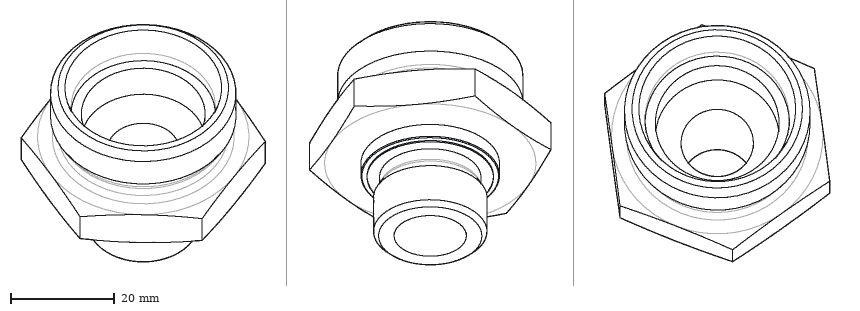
import cadquery as cq
import math

total_height = 39.0
hex_bottom = 17.0
hex_top = 25.0
hex_corner_diameter = 47.35
hex_flat_radius = hex_corner_diameter / 2 * math.cos(math.radians(30))
hex_chamfer_angle = 15.0

tube_thread_radius = 36.0 / 2
tube_thread_bottom = 31.1
tube_thread_chamfer = 1.45
tube_neck_radius = 33.0 / 2
tube_neck_blend = 1.4
tube_neck_root_fillet = 1.15

stud_thread_radius = 22.0 / 2
stud_thread_top = 9.0
stud_chamfer = 1.0
stud_neck_radius = 19.7 / 2
stud_neck_blend = 1.0
undercut_angle = 30.0

collar_radius = 26.9 / 2
collar_bottom = 14.0
collar_chamfer = 0.2
ring_outer_radius = 24.5 / 2
ring_protrusion = 0.3
ring_recess_depth = 1.25
ring_bottom = collar_bottom - ring_protrusion
ring_top = collar_bottom + ring_recess_depth

mouth_radius = 30.4 / 2
mouth_depth = 5.4
socket_radius = 28.0 / 2
socket_depth = 7.5
chamber_radius = 24.0 / 2
chamber_depth = 14.95
bore_radius = 14.0 / 2
chamber_floor_angle = 60.0


def cylinder(radius, bottom, top):
    return cq.Workplane("XY").workplane(offset=bottom).circle(radius).extrude(top - bottom)


def revolve_profile(points):
    """Revolve a closed (radius, height) outline about Z."""
    return cq.Workplane("XZ").polyline(points).close().revolve(360, (0, 0), (0, 1))


def circle_edge(body, radius, height):
    """Pick the circular edge of a turned body with this radius and height."""
    tolerance = 0.005
    low = (-radius - tolerance, -radius - tolerance, height - tolerance)
    high = (radius + tolerance, radius + tolerance, height + tolerance)
    return body.edges(cq.selectors.BoxSelector(low, high, boundingbox=True))


def make_hexagon():
    """Hexagon with corners on Y, its corners turned down to a shallow cone on both faces."""
    corner_radius = hex_corner_diameter / 2
    corner_drop = (corner_radius - hex_flat_radius) * math.tan(math.radians(hex_chamfer_angle))
    prism = (
        cq.Workplane("XY").workplane(offset=hex_bottom)
        .polygon(6, hex_corner_diameter).extrude(hex_top - hex_bottom)
        .rotate((0, 0, 0), (0, 0, 1), 90)
    )
    envelope = revolve_profile([
        (0, hex_bottom),
        (hex_flat_radius, hex_bottom),
        (corner_radius, hex_bottom + corner_drop),
        (corner_radius, hex_top - corner_drop),
        (hex_flat_radius, hex_top),
        (0, hex_top),
    ])
    return prism.intersect(envelope)


def make_tube_end():
    """Threaded end above the hexagon, with a coned undercut below the thread."""
    cone_height = (tube_thread_radius - tube_neck_radius) / math.tan(math.radians(undercut_angle))
    neck_top = tube_thread_bottom - cone_height
    flange_radius = tube_neck_radius + 2 * tube_neck_root_fillet
    flange_bottom = (hex_bottom + hex_top) / 2
    end = revolve_profile([
        (0, flange_bottom),
        (flange_radius, flange_bottom),
        (flange_radius, hex_top),
        (tube_neck_radius, hex_top),
        (tube_neck_radius, neck_top),
        (tube_thread_radius, tube_thread_bottom),
        (tube_thread_radius, total_height - tube_thread_chamfer),
        (tube_thread_radius - tube_thread_chamfer, total_height),
        (0, total_height),
    ])
    end = circle_edge(end, tube_neck_radius, neck_top).fillet(tube_neck_blend)
    return circle_edge(end, tube_neck_radius, hex_top).fillet(tube_neck_root_fillet)


def make_stud():
    """Threaded stud below the collar, with a coned undercut above the thread."""
    cone_height = (stud_thread_radius - stud_neck_radius) / math.tan(math.radians(undercut_angle))
    neck_bottom = stud_thread_top + cone_height
    stud = revolve_profile([
        (0, 0),
        (stud_thread_radius - stud_chamfer, 0),
        (stud_thread_radius, stud_chamfer),
        (stud_thread_radius, stud_thread_top),
        (stud_neck_radius, neck_bottom),
        (stud_neck_radius, hex_bottom),
        (0, hex_bottom),
    ])
    return circle_edge(stud, stud_neck_radius, neck_bottom).fillet(stud_neck_blend)


def make_collar():
    """Collar under the hexagon, chamfered at its lower edge and recessed for the seal ring."""
    collar = cylinder(collar_radius, collar_bottom, hex_bottom).faces("<Z").edges().chamfer(collar_chamfer)
    return collar.cut(cylinder(ring_outer_radius, collar_bottom, ring_top))


def make_bore():
    """Coned mouth, tube socket, chamber with a conical floor, and through bore."""
    floor_height = (chamber_radius - bore_radius) / math.tan(math.radians(chamber_floor_angle))
    chamber_bottom = total_height - chamber_depth
    return revolve_profile([
        (0, 0),
        (bore_radius, 0),
        (bore_radius, chamber_bottom - floor_height),
        (chamber_radius, chamber_bottom),
        (chamber_radius, total_height - socket_depth),
        (socket_radius, total_height - socket_depth),
        (socket_radius, total_height - mouth_depth),
        (mouth_radius, total_height),
        (0, total_height),
    ])


def make_fitting():
    outside = make_hexagon().union(make_tube_end()).union(make_collar()).union(make_stud())
    return outside.cut(make_bore())


def make_seal_ring():
    """Ring seated in the collar recess around the stud neck, standing slightly proud."""
    ring = cylinder(ring_outer_radius, ring_bottom, ring_top)
    return ring.cut(cylinder(stud_neck_radius, ring_bottom, ring_top))


fitting = make_fitting()
seal_ring = make_seal_ring()
result = cq.Compound.makeCompound([fitting.val(), seal_ring.val()])